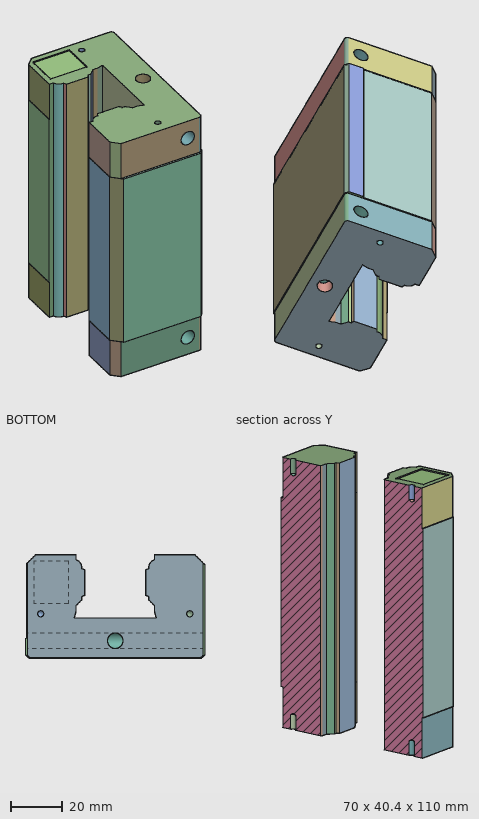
import cadquery as cq
import math

BODY_WIDTH = 70.0
BODY_HEIGHT = 40.4
CAP_WIDTH = 68.3
CAP_TOP_Y = 40.0
CAP_SETBACK = 0.1
LENGTH = 110.0
CAP_LENGTH = 16.5
BODY_LENGTH = LENGTH - 2 * CAP_LENGTH

FOOT_HALF_WIDTH = 31.0
BODY_TOP_CHAMFER = 1.5
CAP_TOP_RADIUS = 1.3
SIDE_STEP_DEPTH = 0.4
SIDE_STEP_Y = 32.8

ROOF_Y = 24.6
ROOF_HALF_WIDTH = 15.9
WALL_HALF_WIDTH = 15.2
WALL_TOP_Y = 22.0
FLANK_HALF_WIDTH = 13.0
LIP_HALF_WIDTH = 11.8
SHOULDER_Y = 19.8
LIP_TOP_Y = 15.8
LIP_BOTTOM_Y = 5.9
LIP_DRAFT = 25.0
CURVE_RADIUS = 3.2
CURVE_CENTER_Y = 5.0

PORT_Y = 33.5
PORT_INSET = 8.0
CROSS_PORT_DIAMETER = 6.0
END_PORT_DIAMETER = 6.0
SCREW_DIAMETER = 2.4
SCREW_DEPTH = 6.0
SCREW_SPACING = 58.0
SCREW_Y = 23.0
DRILL_ANGLE = 118.0

LABEL_WIDTH = 13.6
LABEL_HEIGHT = 16.5
LABEL_DEPTH = 0.5
LABEL_X = -24.9
LABEL_Y = 10.7


def block(width, height, length):
    """Block with 45 degree lower bevels, standing on Z = 0."""
    half = width / 2
    bevel = half - FOOT_HALF_WIDTH
    right = [(FOOT_HALF_WIDTH, 0), (half, bevel), (half, height)]
    left = [(-x, y) for x, y in reversed(right)]
    return cq.Workplane("XY").polyline(right + left).close().extrude(length)


def middle_body():
    """Body between the caps, with chamfered top corners and one set-back side."""
    body = block(BODY_WIDTH, BODY_HEIGHT, BODY_LENGTH)
    body = body.faces(">Y").edges("|Z").chamfer(BODY_TOP_CHAMFER)
    return body.cut(side_relief()).translate((0, 0, CAP_LENGTH))


def cap_core():
    """Cap section with rounded top corners, running through the whole length."""
    core = block(CAP_WIDTH, CAP_TOP_Y - CAP_SETBACK, LENGTH)
    core = core.translate((0, CAP_SETBACK, 0))
    return core.faces(">Y").edges("|Z").fillet(CAP_TOP_RADIUS)


def side_relief():
    """Thin slice that sets back the lower -X side of the body."""
    side = -BODY_WIDTH / 2
    inner = side + SIDE_STEP_DEPTH
    return (
        cq.Workplane("XY")
        .polyline([(side, 0), (inner, 0), (inner, SIDE_STEP_Y - SIDE_STEP_DEPTH), (side, SIDE_STEP_Y)])
        .close()
        .extrude(BODY_LENGTH)
    )


def half_channel():
    """The +X half of the rail channel, over the full length."""
    lip_rise = (FLANK_HALF_WIDTH - LIP_HALF_WIDTH) * math.tan(math.radians(LIP_DRAFT))
    flank_top_y = SHOULDER_Y - (WALL_HALF_WIDTH - FLANK_HALF_WIDTH)
    curve_center_x = FLANK_HALF_WIDTH + CURVE_RADIUS
    curve_bottom_y = CURVE_CENTER_Y - math.sqrt(CURVE_RADIUS**2 - (curve_center_x - WALL_HALF_WIDTH) ** 2)
    root_y = LIP_BOTTOM_Y - lip_rise
    root_x = curve_center_x - math.sqrt(CURVE_RADIUS**2 - (root_y - CURVE_CENTER_Y) ** 2)
    return (
        cq.Workplane("XY")
        .moveTo(0, 0)
        .lineTo(WALL_HALF_WIDTH, 0)
        .lineTo(WALL_HALF_WIDTH, curve_bottom_y)
        .threePointArc((FLANK_HALF_WIDTH, CURVE_CENTER_Y), (root_x, root_y))
        .lineTo(LIP_HALF_WIDTH, LIP_BOTTOM_Y)
        .lineTo(LIP_HALF_WIDTH, LIP_TOP_Y)
        .lineTo(FLANK_HALF_WIDTH, LIP_TOP_Y + lip_rise)
        .lineTo(FLANK_HALF_WIDTH, flank_top_y)
        .lineTo(WALL_HALF_WIDTH, SHOULDER_Y)
        .lineTo(WALL_HALF_WIDTH, WALL_TOP_Y)
        .lineTo(ROOF_HALF_WIDTH, ROOF_Y)
        .lineTo(0, ROOF_Y)
        .close()
        .extrude(LENGTH)
    )


def cap_holes():
    """Ports and screw holes of the +Z end cap."""
    port_z = LENGTH - PORT_INSET
    cross = (
        cq.Workplane("YZ", origin=(-BODY_WIDTH / 2, 0, 0))
        .center(PORT_Y, port_z)
        .circle(CROSS_PORT_DIAMETER / 2)
        .extrude(BODY_WIDTH)
    )
    end = (
        cq.Workplane("XY", origin=(0, PORT_Y, port_z))
        .circle(END_PORT_DIAMETER / 2)
        .extrude(PORT_INSET)
    )
    holes = cross.union(end)
    for x in (-SCREW_SPACING / 2, SCREW_SPACING / 2):
        holes = holes.union(screw_hole(x))
    return holes


def screw_hole(x):
    """Blind hole with a drill-point bottom, entering from the +Z end."""
    radius = SCREW_DIAMETER / 2
    tip = radius / math.tan(math.radians(DRILL_ANGLE / 2))
    return (
        cq.Workplane("XZ", origin=(x, SCREW_Y, LENGTH))
        .polyline([(0, 0), (radius, 0), (radius, -SCREW_DEPTH), (0, -SCREW_DEPTH - tip)])
        .close()
        .revolve(360, (0, 0, 0), (0, 1, 0))
    )


def label_recess():
    """Rectangular recess beside the channel on the +Z end."""
    return (
        cq.Workplane("XY", origin=(LABEL_X, LABEL_Y, LENGTH - LABEL_DEPTH))
        .rect(LABEL_WIDTH, LABEL_HEIGHT)
        .extrude(LABEL_DEPTH)
    )


carriage = cap_core().union(middle_body())

right_channel = half_channel()
carriage = carriage.cut(right_channel).cut(right_channel.mirror("YZ"))

top_holes = cap_holes()
carriage = carriage.cut(top_holes).cut(top_holes.mirror("XY", (0, 0, LENGTH / 2)))

result = carriage.cut(label_recess())